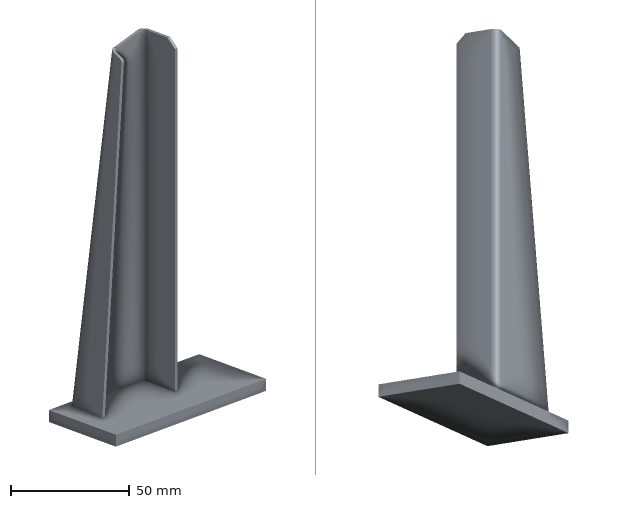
import cadquery as cq
import math

plate_width = 40.0
plate_length = 90.0
plate_thickness = 5.5
total_height = 165.0

sheet = 1.5
bend_radius = 3.3
bracket_width = 20.0
bracket_base_length = 45.0
bracket_inset = 3.0
rear_inset = 36.0
bracket_height = total_height - plate_thickness
front_setback = 24.8
web_top_drop = 4.0
rear_corner_width = 4.5
rear_corner_height = 4.0
front_top_width = 8.0
front_top_drop = 3.5
front_corner_radius = 1.6
margin = 8.2

left = -plate_width / 2 + bracket_inset
rear = plate_length / 2 - rear_inset
front = rear - bracket_base_length
foot = plate_thickness
lean = math.atan2(front_setback, bracket_height)
top_front = front + front_setback


def channel_block(depth, radius):
    """Solid block set in by depth from the bracket's outside, with its two -X edges rounded."""
    front_shift = depth / math.cos(lean)
    return (
        cq.Workplane("YZ", origin=(left + depth, 0, 0))
        .polyline([
            (rear - depth, foot),
            (rear - depth, total_height),
            (top_front + front_shift, total_height),
            (front + front_shift, foot),
        ])
        .close()
        .extrude(bracket_width - depth)
        .faces("<X")
        .edges("not |Y")
        .fillet(radius)
    )


def web_bend_line(height):
    """Y of the line where the web meets the front bend, at a height above the plate."""
    return front + bend_radius / math.cos(lean) + height * math.tan(lean)


def web_top_cutter():
    """Wedge above the web's sloping top edge."""
    slope_start = rear - bend_radius
    slope_end = web_bend_line(bracket_height - web_top_drop)
    return (
        cq.Workplane("YZ", origin=(left - margin, 0, 0))
        .polyline([
            (slope_start, total_height),
            (slope_end, total_height - web_top_drop),
            (slope_end, total_height + margin),
            (slope_start, total_height + margin),
        ])
        .close()
        .extrude(bracket_width + 2 * margin)
    )


def front_flange_trimmer():
    """Waste around the front flange, cut square to the leaning sheet."""
    face = cq.Workplane(cq.Plane(
        origin=(left, front, foot),
        xDir=(1, 0, 0),
        normal=(0, -math.cos(lean), math.sin(lean)),
    )).workplane(offset=-bend_radius)
    bottom = bend_radius * math.tan(lean)
    top = bottom + (bracket_height - web_top_drop) / math.cos(lean)
    depth = bend_radius + margin
    flange = (
        face.polyline([
            (0, bottom),
            (bracket_width, bottom),
            (front_top_width, top - front_top_drop),
            (0, top),
        ])
        .close()
        .extrude(depth)
    )
    free_corner = cq.selectors.NearestToPointSelector(
        face.plane.toWorldCoords((front_top_width, top - front_top_drop, depth / 2)).toTuple()
    )
    flange = flange.edges(free_corner).fillet(front_corner_radius)
    waste = (
        face.moveTo(-margin, -margin)
        .lineTo(bracket_width + margin, -margin)
        .lineTo(bracket_width + margin, top + 2 * margin)
        .lineTo(-margin, top + 2 * margin)
        .close()
        .extrude(depth)
    )
    return waste.cut(flange)


def rear_corner_cutter():
    """Triangle at the rear flange's upper free corner."""
    right = left + bracket_width
    return (
        cq.Workplane("XZ", origin=(0, rear, 0))
        .polyline([
            (right, total_height),
            (right - rear_corner_width, total_height),
            (right, total_height - rear_corner_height),
        ])
        .close()
        .extrude(sheet)
    )


def make_plate():
    return cq.Workplane("XY").box(
        plate_width, plate_length, plate_thickness, centered=(True, True, False)
    )


def make_bracket():
    channel = channel_block(0, bend_radius).cut(channel_block(sheet, bend_radius - sheet))
    return (
        channel.cut(web_top_cutter())
        .cut(front_flange_trimmer())
        .cut(rear_corner_cutter())
    )


plate = make_plate()
bracket = make_bracket()

result = cq.Compound.makeCompound([plate.val(), bracket.val()])